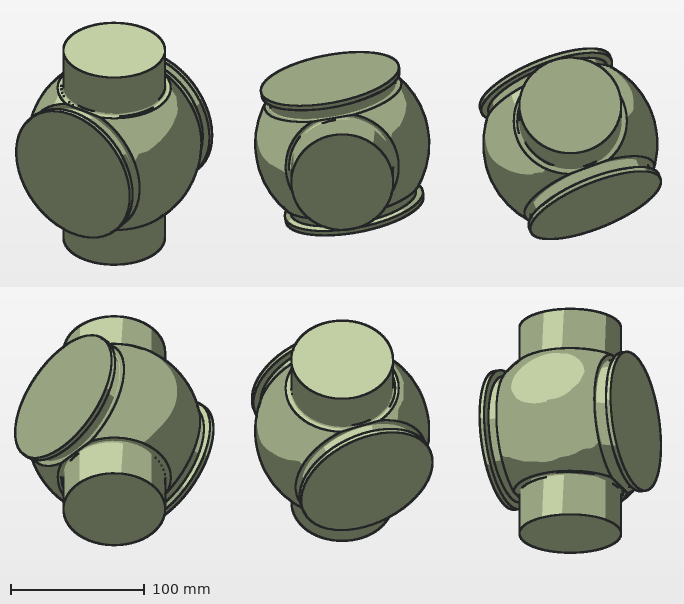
import cadquery as cq
import math

body_radius = 65.075
body_half_height = 49.5
body_half_depth = 39.2

overall_height = 165.86
pipe_radius = 38.05
pipe_foot_fillet = 1.6

overall_depth = 104.9
rim_radius = 52.45
rim_thickness = 3.7
neck_radius = 47.7
rim_taper_angle = 20.0
neck_foot_fillet = 0.5


def close_at_foot(profile, radius, base, fillet):
    """Run a profile down its cylinder, flare it with a concave fillet and close it.

    The fillet ends on the flat at height `base`; the core goes on to the origin.
    """
    flare_radius = radius + fillet
    fillet_top = base + fillet
    arc_offset = fillet * math.sin(math.radians(45))
    return (
        profile.lineTo(radius, fillet_top)
        .threePointArc(
            (flare_radius - arc_offset, fillet_top - arc_offset),
            (flare_radius, base),
        )
        .lineTo(flare_radius, 0)
        .close()
    )


def revolve_about_vertical(profile):
    """Full revolution about the second axis of the profile's workplane."""
    return profile.revolve(360, (0, 0, 0), (0, 1, 0))


def make_body():
    """Sphere trimmed by the four flats; its poles lie on the X axis."""
    envelope = cq.Workplane("XY").box(
        2 * body_radius, 2 * body_half_depth, 2 * body_half_height
    )
    sphere = cq.Workplane("YZ").sphere(body_radius)
    return sphere.intersect(envelope)


def make_pipe():
    """Upper pipe stub with a concave fillet at its foot, along Z."""
    half_height = overall_height / 2
    profile = (
        cq.Workplane("XZ")
        .lineTo(0, half_height)
        .lineTo(pipe_radius, half_height)
    )
    profile = close_at_foot(profile, pipe_radius, body_half_height, pipe_foot_fillet)
    pipe = revolve_about_vertical(profile)
    slab = cq.Workplane("XY").box(2 * body_radius, 2 * body_half_depth, overall_height)
    return pipe.intersect(slab)


def make_ferrule():
    """Rear clamp ferrule along Y: neck, tapered rim back and flat end face."""
    half_depth = overall_depth / 2
    rim_back = half_depth - rim_thickness
    taper_length = (rim_radius - neck_radius) * math.tan(math.radians(rim_taper_angle))
    profile = (
        cq.Workplane("XY")
        .lineTo(0, half_depth)
        .lineTo(rim_radius, half_depth)
        .lineTo(rim_radius, rim_back)
        .lineTo(neck_radius, rim_back - taper_length)
    )
    profile = close_at_foot(profile, neck_radius, body_half_depth, neck_foot_fillet)
    return revolve_about_vertical(profile)


def with_mirror(part, plane):
    """The part together with its mirror image across a central plane."""
    return part.union(part.mirror(plane))


result = make_body()
result = result.union(with_mirror(make_pipe(), "XY"))
result = result.union(with_mirror(make_ferrule(), "XZ"))